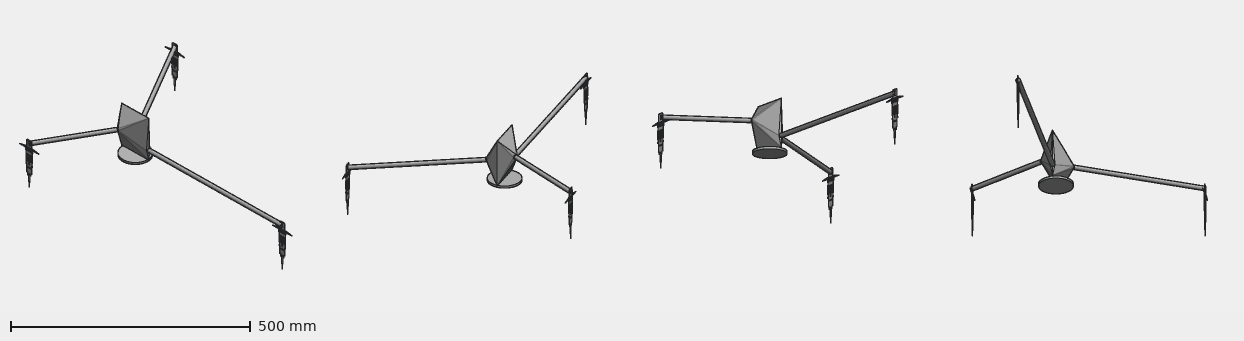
import cadquery as cq
import math


overall_length = 650

hub_reach = 39.5
hub_height = 106.5
boss_reach = 38.0
base_radius = 36.5
base_thickness = 5.0

arm_radius = 5.0
arm_count = 3
arm_turn = 360 / arm_count
boss_lean = arm_turn / 2
first_arm_angle = -arm_turn
first_arm_length = 190.0
arm_length_step = 100.0
first_arm_drop = 41.0
arm_drop_step = 20.0

plate_thickness = 0.5
head_half_width = 7.0
head_top = 8.5
head_chamfer = 2.0
wing_root_half_width = 11.0
wing_root_top = -10.0
wing_tip_top = -13.0
wing_bottom = -13.5
collar_half_width = 10.5
collar_bottom = -20.0
neck_half_width = 9.0
neck_bottom = -27.0
body_half_width = 10.0
body_bottom = -47.0
waist_half_width = 8.5
waist_bottom = -53.0
rim_half_width = 10.0
rim_bottom = -55.0
barrel_half_width = 7.0
barrel_bottom = -75.0
nozzle_half_width = 4.5
nozzle_bottom = -80.5
needle_half_width = 2.5
needle_end_half_width = 2.0
needle_bottom = -97.5
tip_half_width = 0.5
tip_bottom = -110.5

groove_depth = 0.2
groove_width = 2.0
groove_pitch = 4.0
collar_groove_count = 2
body_groove_count = 5
wing_groove_height = -12.0
first_collar_groove = -15.0
first_body_groove = neck_bottom - groove_width
barrel_groove_height = -61.0
nozzle_groove_height = (barrel_bottom + nozzle_bottom) / 2
slot_width = 2.5


def arm_angle(index):
    return math.radians(first_arm_angle - index * arm_turn)


def arm_length(index):
    return first_arm_length + index * arm_length_step


def arm_height(index):
    return hub_height - first_arm_drop - index * arm_drop_step


def arm_direction(index):
    return cq.Vector(math.cos(arm_angle(index)), math.sin(arm_angle(index)), 0)


def arm_point(index, distance):
    """Point on an arm axis at a distance from the centre axis."""
    return arm_direction(index) * distance + cq.Vector(0, 0, arm_height(index))


def flat_face(*corners):
    return cq.Face.makeFromWires(cq.Wire.makePolygon(corners, close=True))


def make_boss_half(index):
    """Half of the hub, at -Y: the hull of its corner points and the round boss facing one arm."""
    left_top, right_top, right_bottom, left_bottom = [
        cq.Vector(x, 0, z)
        for x, z in (
            (-hub_reach, hub_height),
            (hub_reach, hub_height),
            (hub_reach, 0),
            (-hub_reach, 0),
        )
    ]
    end_height = arm_height(arm_count - 1)
    end_corner = cq.Vector(boss_reach, -arm_radius, end_height)
    corners = [left_top, right_top, end_corner, right_bottom, left_bottom]

    outward = cq.Vector(-math.cos(math.radians(boss_lean)), -math.sin(math.radians(boss_lean)), 0)
    center = outward * boss_reach + cq.Vector(0, 0, arm_height(index))
    up = cq.Vector(0, 0, 1)
    side = up.cross(outward)

    def rim_point(turn):
        return center + (up * math.cos(turn) + side * math.sin(turn)) * arm_radius

    def tangent_turn(start, end):
        """Turn at which the plane through two corners touches the rim from outside."""
        edge = end - start
        moment = edge.cross(center - start)
        along_up, along_side = moment.dot(up), moment.dot(side)
        lift = arm_radius * edge.dot(up.cross(side)) / math.hypot(along_up, along_side)
        return math.atan2(along_side, along_up) + math.pi - math.asin(lift)

    faces = [
        flat_face(left_top, right_top, right_bottom, left_bottom),
        flat_face(right_top, right_bottom, end_corner),
    ]
    rim = []
    for number, corner in enumerate(corners):
        before = corners[number - 1]
        after = corners[(number + 1) % len(corners)]
        first_turn = tangent_turn(before, corner)
        last_turn = tangent_turn(corner, after)
        swept = (last_turn - first_turn) % (2 * math.pi)
        arc = cq.Edge.makeThreePointArc(
            rim_point(first_turn), rim_point(first_turn + swept / 2), rim_point(last_turn)
        )
        rim.append(arc)
        faces.append(flat_face(corner, after, rim_point(last_turn)))
        faces.append(cq.occ_impl.shapes.loft(arc, cq.Vertex.makeVertex(*corner.toTuple())))
    faces.append(cq.Face.makeFromWires(cq.Wire.assembleEdges(rim)))
    return cq.Workplane(cq.Solid.makeSolid(cq.Shell.makeShell(faces)))


def make_hub():
    front_half = make_boss_half(0)
    back_half = make_boss_half(1).mirror("XZ")
    return front_half.union(back_half)


def make_base():
    return cq.Workplane("XY").circle(base_radius).extrude(-base_thickness)


def make_arm(index):
    foot = arm_point(index, hub_reach)
    plane = cq.Plane(origin=foot.toTuple(), normal=arm_direction(index).toTuple())
    return cq.Workplane(plane).circle(arm_radius).extrude(arm_length(index))


def wing_half_span():
    """Half span that brings the outermost wing tips to the overall length."""
    ends = [arm_point(index, hub_reach + arm_length(index)).x for index in range(arm_count)]
    return (overall_length - (max(ends) - min(ends))) / 2


def pendant_outline():
    """Right half of the pendant outline, from the top down."""
    half_span = wing_half_span()
    sections = [
        (collar_half_width, wing_bottom, collar_bottom),
        (neck_half_width, collar_bottom, neck_bottom),
        (body_half_width, neck_bottom, body_bottom),
        (waist_half_width, body_bottom, waist_bottom),
        (rim_half_width, waist_bottom, rim_bottom),
        (barrel_half_width, rim_bottom, barrel_bottom),
        (nozzle_half_width, barrel_bottom, nozzle_bottom),
    ]
    half = [
        (head_half_width - head_chamfer, head_top),
        (head_half_width, head_top - head_chamfer),
        (head_half_width, wing_root_top),
        (wing_root_half_width, wing_root_top),
        (half_span, wing_tip_top),
        (half_span, wing_bottom),
    ]
    for half_width, top, bottom in sections:
        half += [(half_width, top), (half_width, bottom)]
    half += [
        (needle_half_width, nozzle_bottom),
        (needle_end_half_width, needle_bottom),
        (tip_half_width, needle_bottom),
        (tip_half_width, tip_bottom),
    ]
    return half


def groove(center_z, half_width, height=groove_width):
    """Cutter for one groove in the front face."""
    return (
        cq.Workplane("XY")
        .box(2 * half_width, groove_depth, height)
        .translate((0, (groove_depth - plate_thickness) / 2, center_z))
    )


def cut_grooves(plate):
    plate = plate.cut(groove(wing_groove_height, wing_root_half_width))
    for step in range(collar_groove_count):
        plate = plate.cut(groove(first_collar_groove - step * groove_pitch, collar_half_width))
    for step in range(body_groove_count):
        plate = plate.cut(groove(first_body_groove - step * groove_pitch, body_half_width))
    plate = plate.cut(groove(barrel_groove_height, barrel_half_width))
    plate = plate.cut(groove(nozzle_groove_height, nozzle_half_width))
    slot_height = body_bottom - waist_bottom
    return plate.cut(groove((body_bottom + waist_bottom) / 2, slot_width / 2, slot_height))


def make_pendant(index, arm):
    """Plate hung on the arm end, with a seat that fits the arm."""
    half = pendant_outline()
    outline = half + [(-x, z) for x, z in reversed(half)]
    plate = cq.Workplane("XZ").polyline(outline).close().extrude(plate_thickness / 2, both=True)
    end = arm_point(index, hub_reach + arm_length(index))
    return cut_grooves(plate).translate(end).cut(arm)


hub = make_hub()
base = make_base()
arms = [make_arm(index) for index in range(arm_count)]
pendants = [make_pendant(index, arm) for index, arm in enumerate(arms)]

result = cq.Compound.makeCompound(
    [hub.val(), base.val()]
    + [arm.val() for arm in arms]
    + [solid for pendant in pendants for solid in pendant.vals()]
)